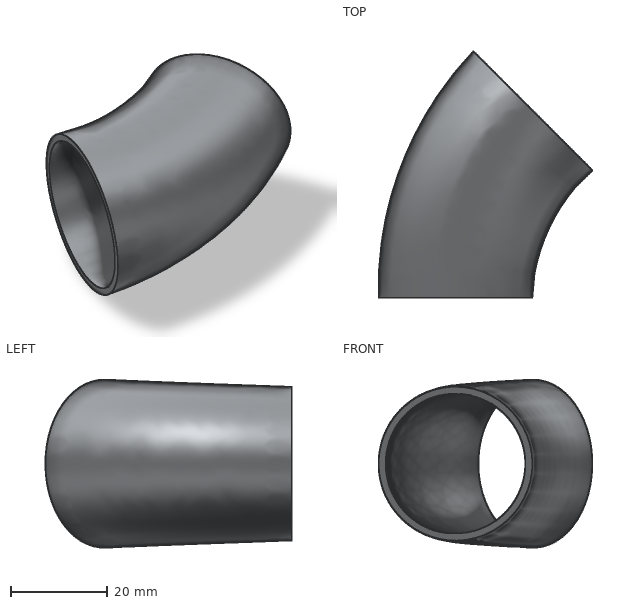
import cadquery as cq
import math

bend_radius = 55.0
bend_angle = 45
inlet_diameter = 32.0
outlet_diameter = 35.0
wall = 1.5

angle = math.radians(bend_angle)
outlet_x = bend_radius * (1 - math.cos(angle))
outlet_y = bend_radius * math.sin(angle)

inlet_plane = cq.Plane(origin=(0, 0, 0), xDir=(0, 0, 1), normal=(0, 1, 0))
outlet_plane = cq.Plane(
    origin=(outlet_x, outlet_y, 0),
    xDir=(0, 0, 1),
    normal=(math.sin(angle), math.cos(angle), 0),
)


def bend_path():
    """Centreline arc in the XY plane, starting along +Y and turning to +X."""
    half = angle / 2
    midpoint = (bend_radius * (1 - math.cos(half)), bend_radius * math.sin(half))
    return cq.Workplane("XY").threePointArc(midpoint, (outlet_x, outlet_y))


def tapered_bend(start_diameter, end_diameter):
    """Solid bend whose circular section grows along the centreline."""
    start = cq.Workplane(inlet_plane).circle(start_diameter / 2).val()
    end = cq.Workplane(outlet_plane).circle(end_diameter / 2).val()
    bend = cq.Solid.sweep_multi([start, end], bend_path().val())
    return cq.Workplane(bend)


outer = tapered_bend(inlet_diameter, outlet_diameter)
bore = tapered_bend(inlet_diameter - 2 * wall, outlet_diameter - 2 * wall)
result = outer.cut(bore)